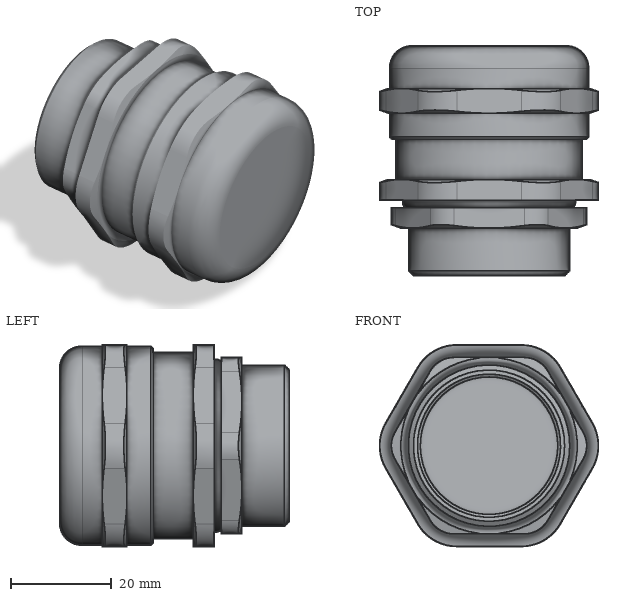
import cadquery as cq
import math

total_length = 45.55

thread_end = 9.45
locknut_end = 13.5
seal_end = 14.95
body_hex_end = 19.05
cap_start = 27.0
cap_hex_start = 32.2
cap_hex_end = 37.1

thread_diameter = 32.0
seal_diameter = 34.3
body_diameter = 37.0
cap_diameter = 39.5

hex_across_flats = 40.0
hex_corner_radius = 8.98
locknut_across_flats = 35.0
locknut_corner_radius = 5.4
hex_chamfer_angle = 20.0

seal_section_radius = 1.45
seal_crest = 14.6

thread_chamfer = 1.0
cap_chamfer = 0.5
dome_radius = 4.45
recess_mouth_diameter = 28.4
recess_floor_diameter = 27.25
recess_depth = 0.55


def cylinder(start, end, diameter):
    """Solid cylinder between two stations along Y."""
    plane = cq.Plane(origin=(0, start, 0), xDir=(1, 0, 0), normal=(0, 1, 0))
    return cq.Workplane(plane).circle(diameter / 2).extrude(end - start)


def hexagon(start, end, across_flats, corner_radius, chamfer_start, chamfer_end):
    """Hexagon with rounded corners, two flats facing +Z and -Z, and conically chamfered ends."""
    apothem = across_flats / 2
    core_radius = (apothem - corner_radius) / math.cos(math.pi / 6)
    outer_radius = core_radius + corner_radius
    plane = cq.Plane(origin=(0, start, 0), xDir=(1, 0, 0), normal=(0, 1, 0))
    prism = (
        cq.Workplane(plane)
        .polygon(6, across_flats / math.cos(math.pi / 6))
        .extrude(end - start)
        .edges("|Y")
        .fillet(corner_radius)
    )

    envelope_radius = outer_radius + 0.45
    cone_width = envelope_radius - apothem
    cone_height = cone_width * math.tan(math.radians(hex_chamfer_angle))
    envelope = cylinder(start, end, 2 * envelope_radius)
    if chamfer_start:
        envelope = envelope.faces("<Y").chamfer(cone_height, cone_width)
    if chamfer_end:
        envelope = envelope.faces(">Y").chamfer(cone_height, cone_width)
    return prism.intersect(envelope)


def seal_radius_at(station):
    """Outer radius of the round-section sealing ring at a station along Y."""
    drop = seal_section_radius - math.sqrt(seal_section_radius**2 - (station - seal_crest) ** 2)
    return seal_diameter / 2 - drop


def sealing_ring():
    """Sealing ring filling the gap between the locknut and the body hexagon."""
    return (
        cq.Workplane("XY")
        .moveTo(0, locknut_end)
        .lineTo(seal_radius_at(locknut_end), locknut_end)
        .threePointArc((seal_diameter / 2, seal_crest), (seal_radius_at(seal_end), seal_end))
        .lineTo(0, seal_end)
        .close()
        .revolve(360, (0, 0, 0), (0, 1, 0))
    )


thread = cylinder(0, locknut_end, thread_diameter).faces("<Y").chamfer(thread_chamfer)
locknut = hexagon(thread_end, locknut_end, locknut_across_flats, locknut_corner_radius, True, False)

seal = sealing_ring()
body_hex = hexagon(seal_end, body_hex_end, hex_across_flats, hex_corner_radius, False, True)
body = cylinder(body_hex_end, cap_start, body_diameter)

cap = (
    cylinder(cap_start, total_length, cap_diameter)
    .faces("<Y").chamfer(cap_chamfer)
    .faces(">Y").edges().fillet(dome_radius)
)
cap_hex = hexagon(cap_hex_start, cap_hex_end, hex_across_flats, hex_corner_radius, True, True)

recess = cq.Workplane("XY").add(
    cq.Solid.makeCone(
        recess_mouth_diameter / 2,
        recess_floor_diameter / 2,
        recess_depth,
        pnt=cq.Vector(0, 0, 0),
        dir=cq.Vector(0, 1, 0),
    )
)

result = thread
for section in (locknut, seal, body_hex, body, cap, cap_hex):
    result = result.union(section)
result = result.cut(recess)